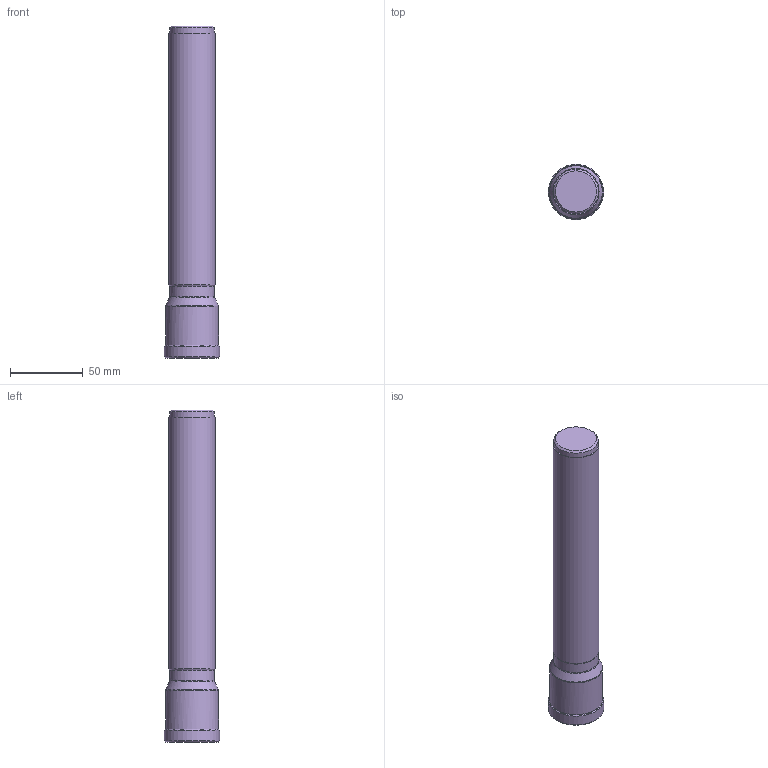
import cadquery as cq

total_length = 228.6

flange_radius = 19.05
flange_height = 8.8
flange_bottom_chamfer = 0.8
flange_top_chamfer = 0.6

head_radius = 18.25
head_top = 35.9
neck_radius = 15.4
cone_top = 42.0
cone_blend_radius = 1.5

barrel_radius = 15.875
barrel_start = 49.5
barrel_step_height = 0.8

cap_height = 4.95
cap_radius = 15.4
cap_edge_chamfer = 1.2

barrel_top = total_length - cap_height


def edges_at(height):
    """Selector for the circular edge centred on the axis at one height."""
    half_band = 0.01
    return cq.selectors.BoxSelector(
        (-flange_radius, -flange_radius, height - half_band),
        (flange_radius, flange_radius, height + half_band),
    )


def make_body():
    """Revolve the flange, head, neck and barrel as one solid, then round both ends of the cone."""
    half_section = [
        (0, 0),
        (flange_radius - flange_bottom_chamfer, 0),
        (flange_radius, flange_bottom_chamfer),
        (flange_radius, flange_height - flange_top_chamfer),
        (flange_radius - flange_top_chamfer, flange_height),
        (head_radius, flange_height),
        (head_radius, head_top),
        (neck_radius, cone_top),
        (neck_radius, barrel_start),
        (barrel_radius, barrel_start + barrel_step_height),
        (barrel_radius, barrel_top),
        (0, barrel_top),
    ]
    body = cq.Workplane("XZ").polyline(half_section).close().revolve(360, (0, 0, 0), (0, 1, 0))
    for height in (head_top, cone_top):
        body = body.edges(edges_at(height)).fillet(cone_blend_radius)
    return body


def make_cap():
    """Disc on the end of the barrel, chamfered around its outer face."""
    cap = cq.Workplane("XY").workplane(offset=barrel_top).circle(cap_radius).extrude(cap_height)
    return cap.faces(">Z").edges().chamfer(cap_edge_chamfer)


body = make_body().solids()
cap = make_cap().solids()

result = cq.Compound.makeCompound([body.val(), cap.val()])